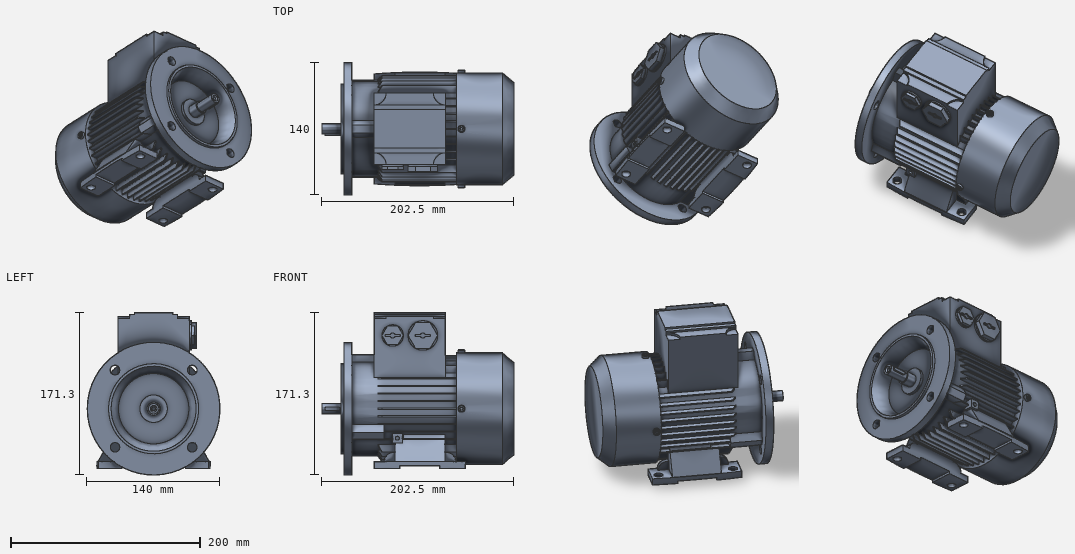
import cadquery as cq
import math


SHAFT_LENGTH = 23.0
SHAFT_RADIUS = 5.5
SHOULDER_RADIUS = 7.0
SHOULDER_START = 0.0
CENTRE_MOUTH_RADIUS = 3.4
CENTRE_RADIUS = 2.0
CENTRE_DEPTH = 10.0
KEY_START = -20.0
KEY_END = -4.0
KEY_WIDTH = 4.0
KEY_TOP = 7.0

FLANGE_RADIUS = 70.0
FLANGE_THICKNESS = 8.5
FLANGE_HOLE_RADIUS = 5.0
FLANGE_HOLE_CIRCLE_RADIUS = 57.5
FLANGE_HOLE_COUNT = 4
SPIGOT_RADIUS = 47.5
SPIGOT_LENGTH = 3.0
RECESS_MOUTH_RADIUS = 44.8
RECESS_FLOOR_RADIUS = 37.1
RECESS_FLOOR = 15.0
BEARING_BOSS_RADIUS = 14.5
BEARING_BOSS_LENGTH = 3.2
LUG_COUNT = 3
LUG_TOP = 57.0
LUG_ROOT = 49.0
LUG_TOP_WIDTH = 8.2
LUG_ROOT_WIDTH = 18.2
LUG_END = 42.5

HOUSING_RADIUS = 50.0
FIN_START = 36.0
FIN_TIP_START = 40.5
FIN_TIP_RADIUS = 56.2
FIN_PITCH = 8.0
FINS_PER_HALF = 4
FIN_TIP_WIDTH = 1.2
FIN_ROOT_WIDTH = 1.7
FIN_ROOT = 30.0

COWL_START = 118.6
COWL_BEVEL_START = 167.0
COWL_END = 179.5
COWL_RADIUS = 59.0
COWL_END_RADIUS = 48.5
SCREW_X = 124.0
SCREW_RADIUS = 3.7
SCREW_TOP = 62.3
SCREW_CHAMFER = 0.8
SCREW_SOCKET_WIDTH = 3.2
SCREW_SOCKET_DEPTH = 1.5

BOX_START = 32.0
BOX_LENGTH = 75.0
BOX_HALF_WIDTH = 37.75
BOX_BOTTOM = 32.0
BOX_TOP = 97.3
LID_STEP_HALF_WIDTH = 25.2
LID_STEP_TOP = 99.3
LID_PANEL_HALF_WIDTH = 20.2
LID_PANEL_TOP = 101.29
CORNER_RADIUS = BOX_HALF_WIDTH - LID_STEP_HALF_WIDTH
CORNER_FLOOR = 94.9

PLUG_Z = 77.2
PLUG_COLLAR_HEIGHT = 1.9
SMALL_PLUG_X = 51.5
SMALL_PLUG_RADIUS = 11.3
SMALL_PLUG_HEIGHT = 5.2
LARGE_PLUG_X = 83.3
LARGE_PLUG_RADIUS = 15.6
LARGE_PLUG_HEIGHT = 7.2
PLUG_SLOT_LENGTH = 16.2
PLUG_SLOT_WIDTH = 2.2
PLUG_SLOT_BORE_RADIUS = 2.7
PLUG_SLOT_DEPTH = 1.0

FOOT_START = 32.0
FOOT_END = 128.0
FOOT_BOTTOM = -63.0
FOOT_TOP = -55.7
FOOT_BRIDGE_BOTTOM = -60.2
FOOT_PAD_LENGTH = 27.0
FOOT_INNER_Y = 33.5
FOOT_HALF_WIDTH = 60.0
FOOT_END_HALF_WIDTH = 58.0
FOOT_HOLE_RADIUS = 4.6
FOOT_HOLE_FRONT_X = 40.0
FOOT_HOLE_SPACING_X = 80.0
FOOT_HOLE_SPACING_Y = 100.0
PEDESTAL_START = 54.0
PEDESTAL_END = 106.6
PEDESTAL_BASE_HALF_WIDTH = 58.7
PEDESTAL_TOP_HALF_WIDTH = 42.4
PEDESTAL_TOP = -27.4
NOTCH_END = 62.7
NOTCH_BOTTOM = -32.0
GUSSET_RADIUS = 9.6
GUSSET_OFFSET = 1.9
GUSSET_OUTER_Y = 39.0

EARTH_X = 56.5
EARTH_Z = -31.1
EARTH_SIDE = 10.2
EARTH_FACE_Y = -50.0
EARTH_DEPTH = 10.0
EARTH_HOLE_RADIUS = 2.1
EARTH_HOLE_DEPTH = 3.0


def block(x, y, z):
    """Box given by its (low, high) limits along each axis."""
    size = (x[1] - x[0], y[1] - y[0], z[1] - z[0])
    return cq.Workplane("XY").box(*size, centered=False).translate((x[0], y[0], z[0]))


def turned(profile):
    """Solid of revolution about X from (x, radius) points."""
    return cq.Workplane("XY").polyline(profile).close().revolve(360, (0, 0, 0), (1, 0, 0))


def along_x(outline, start, end):
    """Prism along X from a (y, z) outline."""
    return cq.Workplane("YZ", origin=(start, 0, 0)).polyline(outline).close().extrude(end - start)


def rod(start, end, radius):
    """Cylinder on the motor axis."""
    return cq.Workplane("YZ", origin=(start, 0, 0)).circle(radius).extrude(end - start)


def make_shaft():
    """Stepped shaft with a round-ended key on the -Y side and a centre hole."""
    shaft = rod(-SHAFT_LENGTH, RECESS_FLOOR, SHAFT_RADIUS)
    shaft = shaft.union(rod(SHOULDER_START, RECESS_FLOOR, SHOULDER_RADIUS))
    key = (
        cq.Workplane("XZ")
        .center((KEY_START + KEY_END) / 2, 0)
        .slot2D(KEY_END - KEY_START, KEY_WIDTH)
        .extrude(KEY_TOP)
    )
    countersink = CENTRE_MOUTH_RADIUS - CENTRE_RADIUS
    centre_hole = turned([
        (-SHAFT_LENGTH, 0),
        (-SHAFT_LENGTH, CENTRE_MOUTH_RADIUS),
        (-SHAFT_LENGTH + countersink, CENTRE_RADIUS),
        (-SHAFT_LENGTH + CENTRE_DEPTH, CENTRE_RADIUS),
        (-SHAFT_LENGTH + CENTRE_DEPTH, 0),
    ])
    return shaft.union(key).cut(centre_hole)


def make_end_shield():
    """Flange, spigot and end shield wall around a conical recess with a bearing boss."""
    shield = rod(-SPIGOT_LENGTH, 0, SPIGOT_RADIUS)
    shield = shield.union(rod(0, FLANGE_THICKNESS, FLANGE_RADIUS))
    shield = shield.union(rod(FLANGE_THICKNESS, FIN_START, HOUSING_RADIUS))
    recess = turned([
        (-SPIGOT_LENGTH, 0),
        (-SPIGOT_LENGTH, RECESS_MOUTH_RADIUS),
        (RECESS_FLOOR, RECESS_FLOOR_RADIUS),
        (RECESS_FLOOR, 0),
    ])
    flange_holes = (
        cq.Workplane("YZ")
        .polarArray(FLANGE_HOLE_CIRCLE_RADIUS, 45, 360, FLANGE_HOLE_COUNT)
        .circle(FLANGE_HOLE_RADIUS)
        .extrude(FLANGE_THICKNESS)
    )
    boss = rod(RECESS_FLOOR - BEARING_BOSS_LENGTH, RECESS_FLOOR, BEARING_BOSS_RADIUS)
    return shield.cut(recess).cut(flange_holes).union(boss)


def make_lugs():
    """Tapered lugs around the end shield, the first one at the top."""
    outline = [
        (-LUG_ROOT_WIDTH / 2, 0),
        (-LUG_ROOT_WIDTH / 2, LUG_ROOT),
        (-LUG_TOP_WIDTH / 2, LUG_TOP),
        (LUG_TOP_WIDTH / 2, LUG_TOP),
        (LUG_ROOT_WIDTH / 2, LUG_ROOT),
        (LUG_ROOT_WIDTH / 2, 0),
    ]
    lug = along_x(outline, FLANGE_THICKNESS, LUG_END)
    lug = lug.cut(rod(FLANGE_THICKNESS, RECESS_FLOOR, SPIGOT_RADIUS))
    lugs = lug
    for i in range(1, LUG_COUNT):
        lugs = lugs.union(lug.rotate((0, 0, 0), (1, 0, 0), i * 360 / LUG_COUNT))
    return lugs


def make_upright_fin(offset):
    """Tapered fin above the axis at Y = offset, with a flat tip just inside the tip circle."""
    tip = math.sqrt(FIN_TIP_RADIUS**2 - (abs(offset) + FIN_TIP_WIDTH / 2) ** 2)
    outline = [
        (offset - FIN_ROOT_WIDTH / 2, FIN_ROOT),
        (offset - FIN_TIP_WIDTH / 2, tip),
        (offset + FIN_TIP_WIDTH / 2, tip),
        (offset + FIN_ROOT_WIDTH / 2, FIN_ROOT),
    ]
    return along_x(outline, FIN_START, COWL_START)


def make_housing():
    """Round housing with level fins on both sides and upright fins above and below."""
    housing = rod(FIN_START, COWL_START, HOUSING_RADIUS)
    sloped_front = turned([
        (FIN_START, 0),
        (FIN_START, HOUSING_RADIUS),
        (FIN_TIP_START, FIN_TIP_RADIUS),
        (COWL_START, FIN_TIP_RADIUS),
        (COWL_START, 0),
    ])
    fin_row = None
    for i in range(-FINS_PER_HALF, FINS_PER_HALF + 1):
        fin = make_upright_fin(i * FIN_PITCH).intersect(sloped_front)
        fin_row = fin if fin_row is None else fin_row.union(fin)
    for angle in (0, 90, 180, 270):
        housing = housing.union(fin_row.rotate((0, 0, 0), (1, 0, 0), angle))
    return housing


def make_cowl():
    """Bevelled fan cowl with a socket screw on top and on both sides."""
    cowl = turned([
        (COWL_START, 0),
        (COWL_START, COWL_RADIUS),
        (COWL_BEVEL_START, COWL_RADIUS),
        (COWL_END, COWL_END_RADIUS),
        (COWL_END, 0),
    ])
    screw = (
        cq.Workplane("XY", origin=(SCREW_X, 0, HOUSING_RADIUS))
        .circle(SCREW_RADIUS)
        .extrude(SCREW_TOP - HOUSING_RADIUS)
        .faces(">Z")
        .chamfer(SCREW_CHAMFER)
        .faces(">Z")
        .workplane()
        .polygon(6, SCREW_SOCKET_WIDTH)
        .cutBlind(-SCREW_SOCKET_DEPTH)
    )
    for angle in (-90, 0, 90):
        cowl = cowl.union(screw.rotate((0, 0, 0), (1, 0, 0), angle))
    return cowl


def make_terminal_box():
    """Box on top of the housing with a stepped lid and quarter-round corner recesses."""
    box_end = BOX_START + BOX_LENGTH
    box_x = (BOX_START, box_end)
    box = block(box_x, (-BOX_HALF_WIDTH, BOX_HALF_WIDTH), (BOX_BOTTOM, BOX_TOP))
    for x in box_x:
        for y in (-BOX_HALF_WIDTH, BOX_HALF_WIDTH):
            recess = (
                cq.Workplane("XY", origin=(x, y, CORNER_FLOOR))
                .circle(CORNER_RADIUS)
                .extrude(BOX_TOP - CORNER_FLOOR)
            )
            box = box.cut(recess)
    lid_steps = (
        (LID_STEP_HALF_WIDTH, LID_STEP_TOP),
        (LID_PANEL_HALF_WIDTH, LID_PANEL_TOP),
    )
    for half_width, top in lid_steps:
        box = box.union(block(box_x, (-half_width, half_width), (BOX_BOTTOM, top)))
    return box


def make_plug(x, radius, height):
    """Hexagonal screw plug on a round collar, with a slot and a round bore in its head."""
    base = cq.Workplane("XZ", origin=(x, -BOX_HALF_WIDTH, PLUG_Z))
    head = cq.Workplane("XZ", origin=(x, -BOX_HALF_WIDTH - height + PLUG_SLOT_DEPTH, PLUG_Z))
    plug = base.circle(radius).extrude(PLUG_COLLAR_HEIGHT)
    plug = plug.union(base.polygon(6, 2 * radius).extrude(height))
    plug = plug.cut(head.slot2D(PLUG_SLOT_LENGTH, PLUG_SLOT_WIDTH).extrude(PLUG_SLOT_DEPTH))
    return plug.cut(head.circle(PLUG_SLOT_BORE_RADIUS).extrude(PLUG_SLOT_DEPTH))


def make_foot_plate():
    """Foot on the -Y side with a bowed outer edge, relieved underneath between its two pads."""
    middle = (FOOT_START + FOOT_END) / 2
    plate = (
        cq.Workplane("XY", origin=(0, 0, FOOT_BOTTOM))
        .moveTo(FOOT_START, -FOOT_END_HALF_WIDTH)
        .threePointArc((middle, -FOOT_HALF_WIDTH), (FOOT_END, -FOOT_END_HALF_WIDTH))
        .lineTo(FOOT_END, -FOOT_INNER_Y)
        .lineTo(FOOT_START, -FOOT_INNER_Y)
        .close()
        .extrude(FOOT_TOP - FOOT_BOTTOM)
    )
    relief = block(
        (FOOT_START + FOOT_PAD_LENGTH, FOOT_END - FOOT_PAD_LENGTH),
        (-FOOT_HALF_WIDTH, -FOOT_INNER_Y),
        (FOOT_BOTTOM, FOOT_BRIDGE_BOTTOM),
    )
    hole_points = [
        (FOOT_HOLE_FRONT_X, -FOOT_HOLE_SPACING_Y / 2),
        (FOOT_HOLE_FRONT_X + FOOT_HOLE_SPACING_X, -FOOT_HOLE_SPACING_Y / 2),
    ]
    holes = (
        cq.Workplane("XY", origin=(0, 0, FOOT_BOTTOM))
        .pushPoints(hole_points)
        .circle(FOOT_HOLE_RADIUS)
        .extrude(FOOT_TOP - FOOT_BOTTOM)
    )
    return plate.cut(relief).cut(holes)


def make_pedestal():
    """Sloping support between the -Y foot and the housing, with a rounded gusset at each end."""
    pedestal = along_x(
        [
            (-PEDESTAL_BASE_HALF_WIDTH, FOOT_TOP),
            (-PEDESTAL_TOP_HALF_WIDTH, PEDESTAL_TOP),
            (-FOOT_INNER_Y, PEDESTAL_TOP),
            (-FOOT_INNER_Y, FOOT_TOP),
        ],
        PEDESTAL_START,
        PEDESTAL_END,
    )
    notch = block(
        (PEDESTAL_START, NOTCH_END),
        (-FOOT_HALF_WIDTH, -FOOT_INNER_Y),
        (NOTCH_BOTTOM, PEDESTAL_TOP),
    )
    pedestal = pedestal.cut(notch)
    for x in (PEDESTAL_START - GUSSET_OFFSET, PEDESTAL_END + GUSSET_OFFSET):
        gusset = (
            cq.Workplane("XZ", origin=(x, -FOOT_INNER_Y, FOOT_TOP))
            .circle(GUSSET_RADIUS)
            .extrude(GUSSET_OUTER_Y - FOOT_INNER_Y)
        )
        pedestal = pedestal.union(gusset)
    below_plate_top = block(
        (FOOT_START, FOOT_END),
        (-FOOT_HALF_WIDTH, -FOOT_INNER_Y),
        (FOOT_TOP - GUSSET_RADIUS, FOOT_TOP),
    )
    return pedestal.cut(below_plate_top)


def make_feet():
    """Two feet with their supports, mirrored about the XZ plane."""
    foot = make_foot_plate().union(make_pedestal())
    return foot.union(foot.mirror("XZ"))


def make_earth_terminal():
    """Square earthing block on the -Y side with a blind screw hole."""
    face = cq.Workplane("XZ", origin=(EARTH_X, EARTH_FACE_Y + EARTH_DEPTH, EARTH_Z))
    terminal = face.rect(EARTH_SIDE, EARTH_SIDE).extrude(EARTH_DEPTH)
    return terminal.faces("<Y").workplane().circle(EARTH_HOLE_RADIUS).cutBlind(-EARTH_HOLE_DEPTH)


result = (
    make_end_shield()
    .union(make_lugs())
    .union(make_shaft())
    .union(make_housing())
    .union(make_cowl())
    .union(make_terminal_box())
    .union(make_plug(SMALL_PLUG_X, SMALL_PLUG_RADIUS, SMALL_PLUG_HEIGHT))
    .union(make_plug(LARGE_PLUG_X, LARGE_PLUG_RADIUS, LARGE_PLUG_HEIGHT))
    .union(make_feet())
    .union(make_earth_terminal())
)